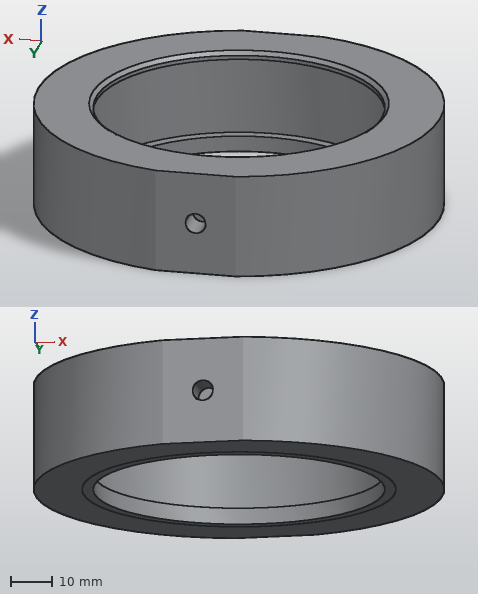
import cadquery as cq

outer_diameter = 100.0
width_across_flats = 98.0
height = 26.0
top_z = height / 2
bottom_z = -height / 2

opening_radius = 35.5
opening_chamfer = 1.0
cavity_radius = 38.2
top_lip_thickness = 2.0

ring_thickness = 4.0

hole_diameter = 5.0
hole_depth = 8.0


def make_housing():
    """Ring with two flats, blind radial holes, a cavity and a chamfered top lip."""
    disc = cq.Workplane("XY").circle(outer_diameter / 2).extrude(height)
    flats = cq.Workplane("XY").rect(outer_diameter, width_across_flats).extrude(height)
    body = disc.intersect(flats).translate((0, 0, bottom_z))

    lip_bottom_z = top_z - top_lip_thickness
    bore = (
        cq.Workplane("YZ")
        .moveTo(0, bottom_z)
        .lineTo(cavity_radius, bottom_z)
        .lineTo(cavity_radius, lip_bottom_z)
        .lineTo(opening_radius, lip_bottom_z)
        .lineTo(opening_radius, top_z - opening_chamfer)
        .lineTo(opening_radius + opening_chamfer, top_z)
        .lineTo(0, top_z)
        .close()
        .revolve(360, (0, 0, 0), (0, 1, 0))
    )
    front_hole = (
        cq.Workplane("XZ", origin=(0, -width_across_flats / 2, 0))
        .circle(hole_diameter / 2)
        .extrude(-hole_depth)
    )
    back_hole = front_hole.mirror("XZ")
    return body.cut(bore).cut(front_hole).cut(back_hole)


def make_retaining_ring():
    """Flat ring seated in the bottom end of the cavity."""
    return (
        cq.Workplane("XY", origin=(0, 0, bottom_z))
        .circle(cavity_radius)
        .circle(opening_radius)
        .extrude(ring_thickness)
    )


housing = make_housing()
retaining_ring = make_retaining_ring()

result = cq.Compound.makeCompound([housing.val(), retaining_ring.val()])